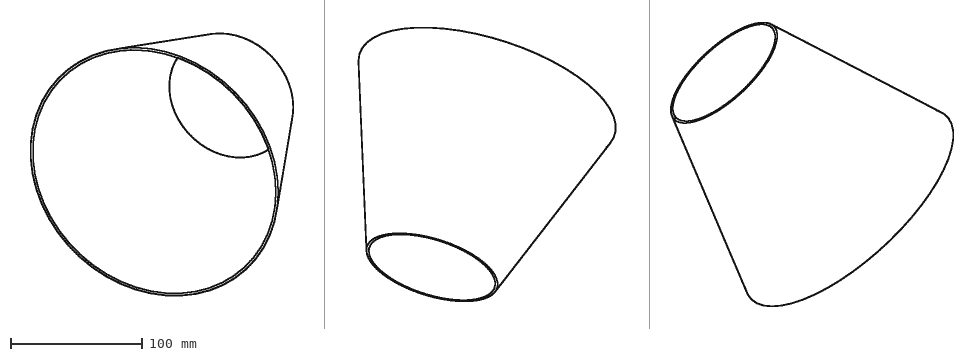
import cadquery as cq

wide_diameter = 204.0
narrow_diameter = 104.0
length = 152.0
wall = 2.0

wide_radius = wide_diameter / 2
narrow_radius = narrow_diameter / 2

wall_section = [
    (wide_radius - wall, 0),
    (wide_radius, 0),
    (narrow_radius, length),
    (narrow_radius - wall, length),
]

result = (
    cq.Workplane("XY")
    .polyline(wall_section)
    .close()
    .revolve(360, (0, 0, 0), (0, 1, 0))
)